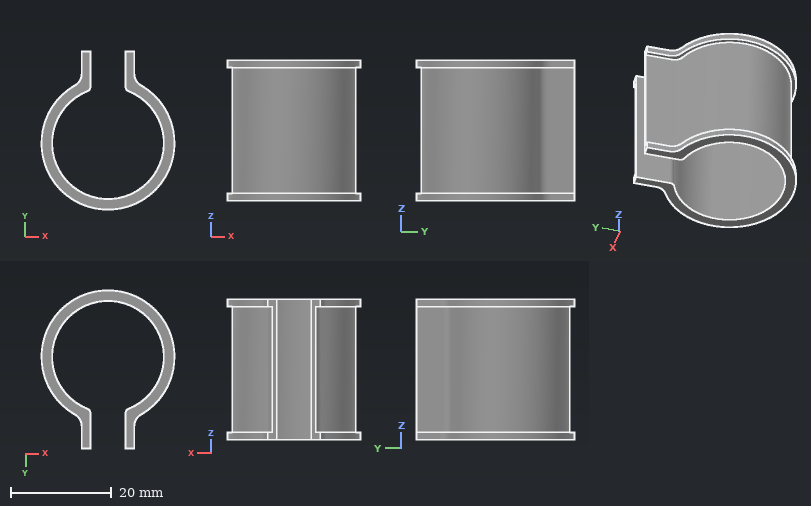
import cadquery as cq

overall_length = 31.52
overall_height = 28.0
flange_diameter = 26.5
flange_thickness = 1.5
flange_step = 0.95

bore_radius = 11.1
slot_half_width = 3.47
lip_radius = 1.0

flange_ear_thickness = 1.8
flange_root_radius = 2.5
sleeve_root_radius = 2.0

flange_radius = flange_diameter / 2
sleeve_radius = flange_radius - flange_step
ear_end = overall_length - flange_radius
sleeve_ear_thickness = flange_ear_thickness - flange_step


def vertical_edges_at(body, half_width):
    """Select the two vertical corner edges at X = +/- half_width, inside the ear ends."""
    span = half_width + 0.03
    inner = half_width - 0.03
    right = cq.selectors.BoxSelector((inner, 0, -0.3), (span, ear_end - 0.3, overall_height + 0.3))
    left = cq.selectors.BoxSelector((-span, 0, -0.3), (-inner, ear_end - 0.3, overall_height + 0.3))
    return body.edges("|Z").edges(right + left)


def clamp_band(outer_radius, ear_thickness, root_radius, base_z, height):
    """Split ring with two parallel ears along +Y, filleted at the ear roots."""
    ear_half_span = slot_half_width + ear_thickness
    ears = cq.Workplane("XY").center(0, ear_end / 2).rect(2 * ear_half_span, ear_end).extrude(height)
    band = cq.Workplane("XY").circle(outer_radius).extrude(height).union(ears)
    band = vertical_edges_at(band, ear_half_span).fillet(root_radius)

    opening = cq.Workplane("XY").circle(bore_radius).extrude(height)
    slot = cq.Workplane("XY").center(0, ear_end / 2).rect(2 * slot_half_width, ear_end).extrude(height)
    band = band.cut(opening.union(slot))
    band = vertical_edges_at(band, slot_half_width).fillet(lip_radius)
    return band.translate((0, 0, base_z))


def end_flange(base_z):
    return clamp_band(flange_radius, flange_ear_thickness, flange_root_radius, base_z, flange_thickness)


sleeve_height = overall_height - 2 * flange_thickness
sleeve = clamp_band(
    sleeve_radius, sleeve_ear_thickness, sleeve_root_radius, flange_thickness, sleeve_height
)
result = sleeve.union(end_flange(0)).union(end_flange(overall_height - flange_thickness)).clean()